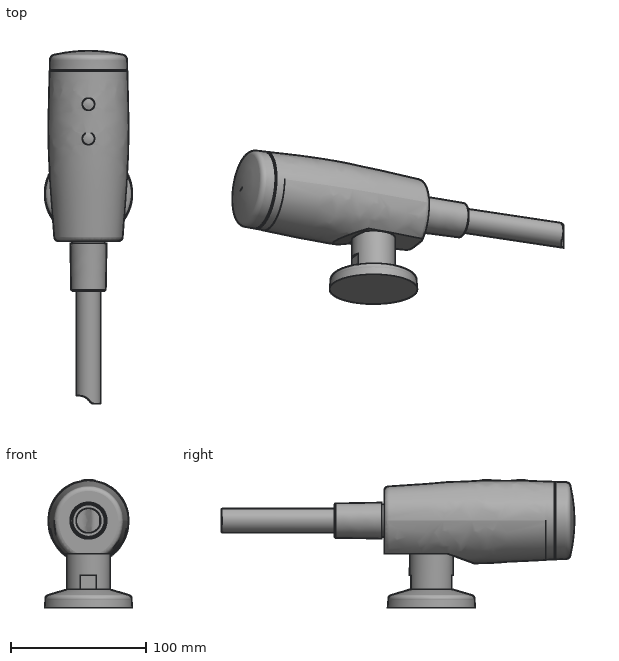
import cadquery as cq
import math

AXIS_Z = 64.5
OVERALL_LENGTH = 260.77

BARREL_SECTIONS = [
    (84.4, 29.0, 29.2),
    (53.0, 29.8, 31.0),
    (26.0, 29.3, 31.8),
    (-2.0, 27.6, 31.2),
    (-35.0, 25.2, 29.0),
]
BARREL_REAR_Y = BARREL_SECTIONS[0][0]
BARREL_REAR_RADIUS = BARREL_SECTIONS[0][1]
BARREL_FRONT_Y = BARREL_SECTIONS[-1][0]
NOSE_FILLET = 3.5

FLAT_Z = 40.0
RAMP_FRONT_Y = 12.0
RAMP_REAR_Y = 36.0
RAMP_REAR_Z = 31.2
CUT_WIDTH = 80.0

CAP_REAR_Y = 105.7
CAP_EDGE_Y = 99.0
CAP_EDGE_RADIUS = 28.6
CAP_DOME_START_Y = 102.8
CAP_DOME_RADIAL = 25.4
GROOVE_Y = 91.2
GROOVE_WIDTH = 1.0
GROOVE_DEPTH = 0.5

BUTTON_RADIUS = 4.5
BUTTON_TOP_Z = 94.78
BUTTON_EDGE_Z = 94.2
BUTTON_BOTTOM_Z = 90.0
BUTTON_REAR_Y = 66.2
BUTTON_PITCH = 25.4
BUTTON_COUNT = 2

NECK_RADIUS = 12.2
COLLAR_REAR_Y = -36.6
COLLAR_REAR_RADIUS = 13.5
COLLAR_FRONT_Y = -71.8
COLLAR_FRONT_RADIUS = 12.9
COLLAR_CHAMFER = 1.1
CABLE_RADIUS = 9.1
CABLE_END_Y = CAP_REAR_Y - OVERALL_LENGTH
BREAK_DEPTH = 6.2
TIP_CHAMFER = 0.8

POST_RADIUS = 16.2
POST_TOP_Z = 50.0
POST_FLAT_WIDTH = 11.8
POST_FLAT_TOP_Z = 24.0
BASE_RADIUS = 32.49
BASE_BAND_RADIUS = 32.0
BASE_BAND_Z = 5.7
BASE_SHOULDER_RADIUS = 29.6
BASE_SHOULDER_Z = 9.7
BASE_TOP_Z = 13.7
BASE_SHOULDER_MID = (31.5, 8.3)


def cylinder_along_y(radius, rear_y, front_y):
    """Cylinder on the barrel axis running toward -Y."""
    return cq.Workplane("XZ", origin=(0, rear_y, AXIS_Z)).circle(radius).extrude(rear_y - front_y)


def barrel_section(y, radius, depth):
    """Closed wire: semicircle above the axis, half ellipse below it."""
    return (
        cq.Workplane("XZ", origin=(0, y, AXIS_Z))
        .moveTo(radius, 0)
        .threePointArc((0, radius), (-radius, 0))
        .ellipseArc(radius, depth, 180, 360, startAtCurrent=True)
        .close()
        .val()
    )


def make_barrel():
    """Lofted grip with a rounded nose and a flat, ramped underside."""
    sections = [barrel_section(*section) for section in BARREL_SECTIONS]
    barrel = cq.Workplane(cq.Solid.makeLoft(sections)).faces("<Y").edges().fillet(NOSE_FILLET)
    underside = (
        cq.Workplane("YZ")
        .moveTo(BARREL_FRONT_Y, 0)
        .lineTo(BARREL_FRONT_Y, FLAT_Z)
        .lineTo(RAMP_FRONT_Y, FLAT_Z)
        .lineTo(RAMP_REAR_Y, RAMP_REAR_Z)
        .lineTo(RAMP_REAR_Y, 0)
        .close()
        .extrude(CUT_WIDTH / 2, both=True)
    )
    return barrel.cut(underside)


def make_cap():
    """Domed rear cap with a thin groove around it."""
    dome_mid_radial = CAP_DOME_RADIAL / 2
    dome_mid_y = CAP_REAR_Y - (CAP_REAR_Y - CAP_DOME_START_Y) / 4
    cap = (
        cq.Workplane("XY", origin=(0, 0, AXIS_Z))
        .moveTo(0, CAP_REAR_Y)
        .threePointArc((dome_mid_radial, dome_mid_y), (CAP_DOME_RADIAL, CAP_DOME_START_Y))
        .tangentArcPoint((CAP_EDGE_RADIUS, CAP_EDGE_Y), relative=False)
        .lineTo(BARREL_REAR_RADIUS, BARREL_REAR_Y)
        .lineTo(0, BARREL_REAR_Y)
        .close()
        .revolve(360, (0, 0, 0), (0, 1, 0))
    )
    groove_rear_y = GROOVE_Y + GROOVE_WIDTH / 2
    groove_front_y = GROOVE_Y - GROOVE_WIDTH / 2
    groove = cylinder_along_y(BARREL_REAR_RADIUS, groove_rear_y, groove_front_y).cut(
        cylinder_along_y(CAP_EDGE_RADIUS - GROOVE_DEPTH, groove_rear_y, groove_front_y)
    )
    return cap.cut(groove)


def make_button(index):
    """Round button with a slightly crowned top."""
    crown = BUTTON_TOP_Z - BUTTON_EDGE_Z
    crown_mid_z = BUTTON_TOP_Z - crown / 4
    return (
        cq.Workplane("XZ", origin=(0, BUTTON_REAR_Y - index * BUTTON_PITCH, 0))
        .moveTo(0, BUTTON_BOTTOM_Z)
        .lineTo(BUTTON_RADIUS, BUTTON_BOTTOM_Z)
        .lineTo(BUTTON_RADIUS, BUTTON_EDGE_Z)
        .threePointArc((BUTTON_RADIUS / 2, crown_mid_z), (0, BUTTON_TOP_Z))
        .close()
        .revolve(360, (0, 0, 0), (0, 1, 0))
    )


def make_collar():
    """Short neck and a tapered collar with a chamfered front rim."""
    neck = cylinder_along_y(NECK_RADIUS, BARREL_FRONT_Y, COLLAR_REAR_Y)
    collar = (
        cq.Workplane("XY", origin=(0, 0, AXIS_Z))
        .moveTo(0, COLLAR_REAR_Y)
        .lineTo(COLLAR_REAR_RADIUS, COLLAR_REAR_Y)
        .lineTo(COLLAR_FRONT_RADIUS, COLLAR_FRONT_Y)
        .lineTo(0, COLLAR_FRONT_Y)
        .close()
        .revolve(360, (0, 0, 0), (0, 1, 0))
        .faces("<Y")
        .edges()
        .chamfer(COLLAR_CHAMFER)
    )
    return neck.union(collar)


def make_cable():
    """Cable whose free end is broken along an S curve."""
    cable = cylinder_along_y(CABLE_RADIUS, COLLAR_FRONT_Y, CABLE_END_Y)
    short_y = CABLE_END_Y + BREAK_DEPTH
    left_x = -CABLE_RADIUS
    right_x = CABLE_RADIUS
    slope_mid = (0, CABLE_END_Y + BREAK_DEPTH / 2)
    tip_start = (CABLE_RADIUS / 2, CABLE_END_Y)
    waste = (
        cq.Workplane("XY")
        .moveTo(left_x, short_y)
        .spline([slope_mid, tip_start], tangents=[(1, 0), (1, 0)], includeCurrent=True)
        .lineTo(right_x - TIP_CHAMFER, CABLE_END_Y)
        .lineTo(right_x, CABLE_END_Y + TIP_CHAMFER)
        .lineTo(right_x, CABLE_END_Y - BREAK_DEPTH)
        .lineTo(left_x, CABLE_END_Y - BREAK_DEPTH)
        .close()
        .extrude(2 * AXIS_Z)
    )
    return cable.cut(waste)


def make_post():
    """Round post with one flat toward -Y and one toward +Y near its foot."""
    post = cq.Workplane("XY").circle(POST_RADIUS).extrude(POST_TOP_Z)
    flat_distance = math.sqrt(POST_RADIUS**2 - (POST_FLAT_WIDTH / 2) ** 2)
    for side in (-1, 1):
        flat_cut = (
            cq.Workplane("XY", origin=(0, side * (flat_distance + POST_RADIUS / 2), 0))
            .rect(2 * POST_RADIUS, POST_RADIUS)
            .extrude(POST_FLAT_TOP_Z)
        )
        post = post.cut(flat_cut)
    return post


def make_base():
    """Turned disc with a rounded shoulder and a conical top."""
    return (
        cq.Workplane("XZ")
        .moveTo(0, 0)
        .lineTo(BASE_RADIUS, 0)
        .lineTo(BASE_BAND_RADIUS, BASE_BAND_Z)
        .threePointArc(BASE_SHOULDER_MID, (BASE_SHOULDER_RADIUS, BASE_SHOULDER_Z))
        .lineTo(POST_RADIUS, BASE_TOP_Z)
        .lineTo(0, BASE_TOP_Z)
        .close()
        .revolve(360, (0, 0, 0), (0, 1, 0))
    )


result = make_barrel().union(make_cap())
for button_index in range(BUTTON_COUNT):
    result = result.union(make_button(button_index))
for piece in (make_collar(), make_cable(), make_post(), make_base()):
    result = result.union(piece)